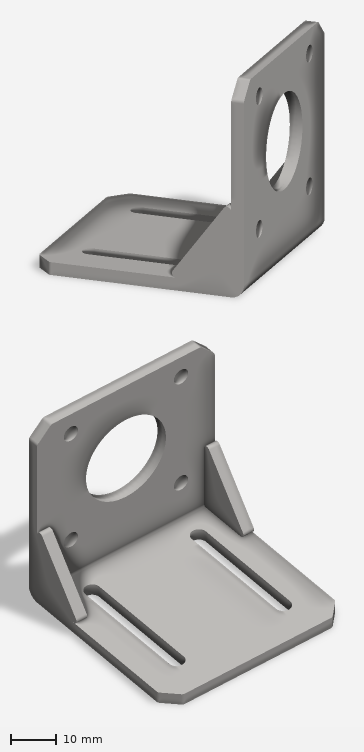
import cadquery as cq
import math

size = 50.0
thickness = 3.0
outer_bend_radius = 3.0
inner_bend_radius = 0.5

corner_cut = 4.0
corner_cut_rounding = 1.0

slot_width = 4.0
slot_length = 34.0
slot_center_x = 25.0
slot_spacing = 30.0

bore_diameter = 22.5
bore_height = 28.8
bolt_diameter = 4.0
bolt_spacing = 31.0

gusset_end_radius = 1.0
gusset_foot_x = 34.0
gusset_top_z = 20.0

half_width = size / 2
inner_x = size - thickness


def make_angle():
    """Bent L-section with rounded bend."""
    angle = (
        cq.Workplane("XZ", origin=(0, half_width, 0))
        .polyline([
            (0, 0),
            (size, 0),
            (size, size),
            (inner_x, size),
            (inner_x, thickness),
            (0, thickness),
        ])
        .close()
        .extrude(size)
    )
    outer_edge = cq.selectors.NearestToPointSelector((size, 0, 0))
    inner_edge = cq.selectors.NearestToPointSelector((inner_x, 0, thickness))
    angle = angle.edges("|Y").edges(outer_edge).fillet(outer_bend_radius)
    return angle.edges("|Y").edges(inner_edge).fillet(inner_bend_radius)


def clip_corners(body):
    """Clip and soften the two free corners of each plate."""
    body = body.faces("<X").edges("|Z").chamfer(corner_cut)
    body = body.faces(">Z").edges("|X").chamfer(corner_cut)
    cut_middle = corner_cut / 2
    for sign in (1, -1):
        base_point = (cut_middle, sign * (half_width - cut_middle), thickness / 2)
        top_point = (inner_x + thickness / 2, base_point[1], size - cut_middle)
        for point in (base_point, top_point):
            cut_face = cq.selectors.NearestToPointSelector(point)
            direction = "|Z" if point == base_point else "|X"
            body = body.faces(cut_face).edges(direction).fillet(corner_cut_rounding)
    return body


def make_gusset(outer_y):
    """Flap whose sloping edge rolls into a round end against each plate."""
    radius = gusset_end_radius
    foot_z = thickness + radius
    top_x = inner_x - radius
    slope_angle = math.atan2(gusset_top_z - foot_z, top_x - gusset_foot_x)
    slope_normal = slope_angle + math.pi / 2
    foot_middle = (slope_normal + 1.5 * math.pi) / 2
    top_middle = slope_normal / 2

    def foot_point(angle):
        return (gusset_foot_x + radius * math.cos(angle), foot_z + radius * math.sin(angle))

    def top_point(angle):
        return (top_x + radius * math.cos(angle), gusset_top_z + radius * math.sin(angle))

    root_x = inner_x + thickness / 2
    root_z = thickness / 2
    return (
        cq.Workplane("XZ", origin=(0, outer_y, 0))
        .moveTo(gusset_foot_x, root_z)
        .lineTo(gusset_foot_x, thickness)
        .threePointArc(foot_point(foot_middle), foot_point(slope_normal))
        .lineTo(*top_point(slope_normal))
        .threePointArc(top_point(top_middle), (inner_x, gusset_top_z))
        .lineTo(root_x, gusset_top_z)
        .lineTo(root_x, root_z)
        .close()
        .extrude(thickness)
    )


def make_slots():
    """Pair of slots along X through the base."""
    return (
        cq.Workplane("XY")
        .pushPoints([(slot_center_x, -slot_spacing / 2), (slot_center_x, slot_spacing / 2)])
        .slot2D(slot_length, slot_width)
        .extrude(thickness)
    )


def make_motor_holes():
    """Central bore with a square pattern of bolt holes through the upright."""
    plate = cq.Workplane("YZ", origin=(inner_x, 0, bore_height))
    bore = plate.circle(bore_diameter / 2).extrude(thickness)
    bolts = (
        plate.rarray(bolt_spacing, bolt_spacing, 2, 2)
        .circle(bolt_diameter / 2)
        .extrude(thickness)
    )
    return bore.union(bolts)


bracket = clip_corners(make_angle())
for gusset_outer_y in (half_width, -half_width + thickness):
    bracket = bracket.union(make_gusset(gusset_outer_y))

result = bracket.cut(make_slots()).cut(make_motor_holes())